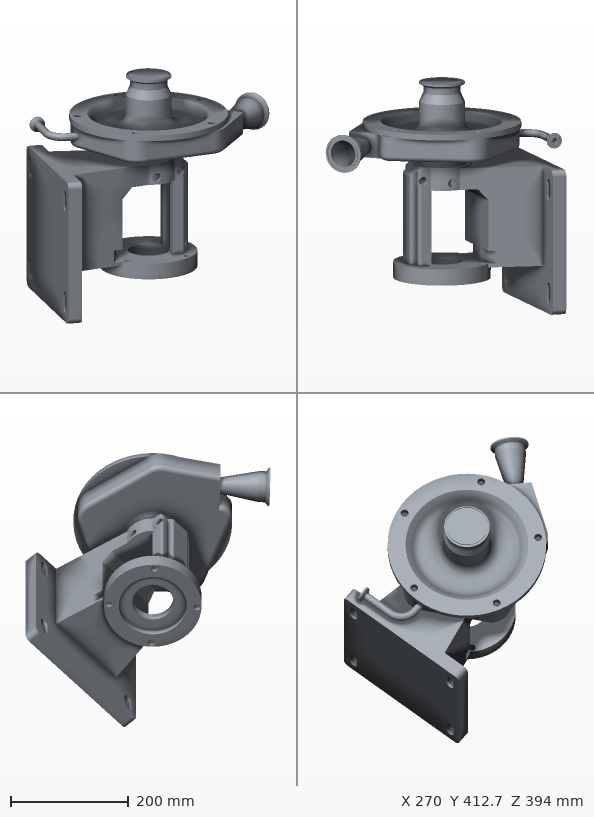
import cadquery as cq
import math


OVERLAP = 4.0
QUARTER_ARC_SAG = 1 - math.sqrt(0.5)

PLATE_WIDTH = 250.5
PLATE_HEIGHT = 250.0
PLATE_FRONT = -179.3
PLATE_BACK = -155.0
PLATE_CORNER_RADIUS = 10.0
SLOT_WIDTH = 16.0
SLOT_LENGTH = 36.8
SLOT_SPACING_X = 210.0
SLOT_SPACING_Z = 179.3

ARM_HALF_WIDTH = 74.8
ARM_SIDE_SLOPE = 0.19
ARM_BOTTOM = 77.5
ARM_INNER_FACE = -63.0
WINDOW_CHAMFER_Y = 17.8
WINDOW_CHAMFER_Z = 19.0
RELIEF_DEPTH = 15.5
RELIEF_HEIGHT = 22.5
RELIEF_ANGLE = 20

COLLAR_RADIUS = 50.0
COLLAR_BOTTOM = 213.0
COLLAR_TOP = 252.8
CORE_RADIUS = 41.7
SIDE_HOLE_RADIUS = 7.5
SIDE_HOLE_Z = 226.0
COLUMN_HALF_WIDTH = 35.5
COLUMN_FRONT = 32.0
COLUMN_BACK = 54.5
COLUMN_BORE_RADIUS = 37.5
RIB_HALF_WIDTH = 20.5
RIB_BACK = 65.0
COLUMN_CORNER_RADIUS = 5.0
BEVEL_Y = 18.0
BEVEL_Z = 15.5
CROSS_HOLE_RADIUS = 7.0
CROSS_HOLE_Y = 47.0
CROSS_HOLE_Z = 230.0
RING_RADIUS = 83.0
RING_BORE_RADIUS = 35.0
RING_SPIGOT_RADIUS = 58.0
RING_SPIGOT_DEPTH = 11.5
RING_BOTTOM = 55.5
RING_TOP = 83.5
RING_HOLE_CIRCLE = 75.0
RING_HOLE_RADIUS = 5.8
RING_HOLES = 4
RING_HOLE_START = 45

CASING_BOTTOM = 273.5
CASING_FLANGE_BOTTOM = 315.5
CASING_TOP = 325.5
NECK_FILLET = 9.5
CASING_EDGE_FILLET = 8.3
CASING_CORNER_RADIUS = 34.5
LIP_CORNER_RADIUS = 21.5
CASING_SIDES = 5
CASING_APOTHEM = 115.0
CASING_TURN = 45
FLANGE_RADIUS = 135.0
FLANGE_HOLE_CIRCLE = 122.0
FLANGE_HOLE_RADIUS = 6.5
DISH_RIM_RADIUS = 104.5
DISH_FLOOR_RADIUS = 83.0
DISH_DEPTH = 15.3
DISH_FILLET = 14.5
DISH_WALL_ANGLE = 45

INLET_RADIUS = 39.0
INLET_NECK_RADIUS = 32.0
INLET_FLARE_BOTTOM = 359.8
INLET_FLARE_TOP = 375.5
INLET_CLAMP_BOTTOM = 386.5
INLET_RIM_BOTTOM = 390.8
INLET_TOP = 394.0
INLET_GROOVE_INNER_RADIUS = 34.3
INLET_GROOVE_OUTER_RADIUS = 36.8

OUTLET_ANGLE = 135
OUTLET_OFFSET = 95.0
OUTLET_Z = 293.0
OUTLET_FACE = 110.5
OUTLET_FACE_START = 62.5
OUTLET_FACE_END = 123.0
OUTLET_LENGTH = 84.5
OUTLET_ROOT_RADIUS = 14.5
OUTLET_ROOT_LENGTH = 3.7
OUTLET_CONE_LENGTH = 66.0
OUTLET_CONE_RADIUS = 26.5
OUTLET_RIM_RADIUS = 32.5
OUTLET_RIM_THICKNESS = 2.5
OUTLET_CLAMP_THICKNESS = 7.0
OUTLET_BORE_RADIUS = 23.0
OUTLET_BORE_DEPTH = 13.0
OUTLET_TAPER_RADIUS = 21.5
OUTLET_TAPER_DEPTH = 27.0
OUTLET_BORE_ROOT_RADIUS = 11.0
OUTLET_GROOVE_INNER_RADIUS = 27.0
OUTLET_GROOVE_OUTER_RADIUS = 29.5

GROOVE_DEPTH = 1.5

DRAIN_RADIUS = 6.5
DRAIN_BORE_RADIUS = 4.5
DRAIN_Z = 295.5
DRAIN_BEND_START = -142.5
DRAIN_BEND_RADIUS = 29.0
DRAIN_PIPE_Y = DRAIN_BEND_START - DRAIN_BEND_RADIUS
DRAIN_END = -89.5
DRAIN_RIM_RADIUS = 13.2
DRAIN_RIM_THICKNESS = 3.5
DRAIN_CLAMP_THICKNESS = 7.5
DRAIN_GROOVE_INNER_RADIUS = 8.0
DRAIN_GROOVE_OUTER_RADIUS = 10.5


def polar(radius, angle):
    """Point at a radius and an angle in degrees around the pump axis."""
    turn = math.radians(angle)
    return (radius * math.cos(turn), radius * math.sin(turn))


def cylinder(radius, bottom, top):
    return cq.Workplane("XY").workplane(offset=bottom).circle(radius).extrude(top - bottom)


def slab(outline, bottom, top):
    """Upright prism over a closed polygon in the XY plane."""
    return cq.Workplane("XY").workplane(offset=bottom).polyline(outline).close().extrude(top - bottom)


def turned(profile):
    """Solid of revolution around Z from (radius, height) points."""
    return cq.Workplane("XZ").polyline(profile).close().revolve(360, (0, 0, 0), (0, 1, 0))


def cross_hole(radius, y, z):
    """Cylinder along X right across the bracket."""
    return cq.Workplane("YZ").center(y, z).circle(radius).extrude(PLATE_WIDTH / 2, both=True)


def gasket_groove(inner, outer, face):
    """Ring sunk into a clamp face that lies at height face and looks up."""
    bottom = face - GROOVE_DEPTH
    return cylinder(outer, bottom, face).cut(cylinder(inner, bottom, face))


def mounting_plate():
    plate = (
        cq.Workplane("XZ", origin=(0, PLATE_BACK, PLATE_HEIGHT / 2))
        .rect(PLATE_WIDTH, PLATE_HEIGHT)
        .extrude(PLATE_BACK - PLATE_FRONT)
        .edges("|Y")
        .fillet(PLATE_CORNER_RADIUS)
    )
    return (
        plate.faces("<Y")
        .workplane(centerOption="CenterOfBoundBox")
        .rarray(SLOT_SPACING_X, SLOT_SPACING_Z, 2, 2)
        .slot2D(SLOT_LENGTH, SLOT_WIDTH, 90)
        .cutThruAll()
    )


def arm_half_width(y):
    return ARM_HALF_WIDTH - ARM_SIDE_SLOPE * (y - PLATE_BACK)


def bracket_arm():
    """Tapered block behind the plate, stepped in side view, with a relief beside each front ring hole."""
    plan = []
    for y, side in ((PLATE_BACK, -1), (0, -1), (0, 1), (PLATE_BACK, 1)):
        plan.append((side * arm_half_width(y), y))
    profile = [
        (PLATE_BACK, ARM_BOTTOM),
        (ARM_INNER_FACE, ARM_BOTTOM),
        (ARM_INNER_FACE, COLLAR_BOTTOM - WINDOW_CHAMFER_Z),
        (ARM_INNER_FACE + WINDOW_CHAMFER_Y, COLLAR_BOTTOM),
        (0, COLLAR_BOTTOM),
        (0, PLATE_HEIGHT),
        (PLATE_BACK, PLATE_HEIGHT),
    ]
    stepped = cq.Workplane("YZ").polyline(profile).close().extrude(PLATE_WIDTH / 2, both=True)
    arm = slab(plan, ARM_BOTTOM, PLATE_HEIGHT).intersect(stepped)

    relief_y = ARM_INNER_FACE - RELIEF_DEPTH
    edge_x = arm_half_width(relief_y)
    relief_reach = RELIEF_DEPTH / math.tan(math.radians(RELIEF_ANGLE))
    for side in (-1, 1):
        outline = [
            (side * (edge_x - relief_reach), ARM_INNER_FACE),
            (side * edge_x, relief_y),
            (side * PLATE_WIDTH / 2, relief_y),
            (side * PLATE_WIDTH / 2, ARM_INNER_FACE),
        ]
        arm = arm.cut(slab(outline, RING_TOP, RING_TOP + RELIEF_HEIGHT))
    return arm


def collar():
    """Round boss under the casing, with a set-screw hole in each side that ends on the core."""
    holes = cross_hole(SIDE_HOLE_RADIUS, 0, SIDE_HOLE_Z)
    holes = holes.cut(cylinder(CORE_RADIUS, COLLAR_BOTTOM, COLLAR_TOP))
    return cylinder(COLLAR_RADIUS, COLLAR_BOTTOM, COLLAR_TOP).cut(holes)


def column_bar(half_width, front, back):
    """Upright bar whose two back corners are rounded."""
    return (
        cq.Workplane("XY", origin=(0, (front + back) / 2, RING_TOP))
        .rect(2 * half_width, back - front)
        .extrude(COLLAR_TOP - RING_TOP)
        .edges("|Z and >Y")
        .fillet(COLUMN_CORNER_RADIUS)
    )


def column():
    """Back column with a rib, hollowed in front below the collar and bevelled at the top."""
    body = column_bar(COLUMN_HALF_WIDTH, COLUMN_FRONT, COLUMN_BACK)
    body = body.union(column_bar(RIB_HALF_WIDTH, COLUMN_FRONT, RIB_BACK))
    bevel = (
        cq.Workplane("YZ")
        .moveTo(RIB_BACK - BEVEL_Y, COLLAR_TOP)
        .lineTo(RIB_BACK, COLLAR_TOP)
        .lineTo(RIB_BACK, COLLAR_TOP - BEVEL_Z)
        .close()
        .extrude(COLUMN_HALF_WIDTH, both=True)
    )
    return body.cut(cylinder(COLUMN_BORE_RADIUS, RING_TOP, COLLAR_BOTTOM)).cut(bevel)


def motor_ring():
    """Ring under the column with a stepped bore and a circle of bolt holes."""
    holes = (
        cq.Workplane("XY")
        .workplane(offset=RING_BOTTOM)
        .polarArray(RING_HOLE_CIRCLE, RING_HOLE_START, 360, RING_HOLES)
        .circle(RING_HOLE_RADIUS)
        .extrude(RING_TOP - RING_BOTTOM)
    )
    bore = cylinder(RING_BORE_RADIUS, RING_BOTTOM, RING_TOP)
    spigot_seat = cylinder(RING_SPIGOT_RADIUS, RING_BOTTOM, RING_BOTTOM + RING_SPIGOT_DEPTH)
    return cylinder(RING_RADIUS, RING_BOTTOM, RING_TOP).cut(bore).cut(spigot_seat).cut(holes)


def bracket():
    body = mounting_plate().union(bracket_arm()).union(collar()).union(column()).union(motor_ring())
    return body.cut(cross_hole(CROSS_HOLE_RADIUS, CROSS_HOLE_Y, CROSS_HOLE_Z))


def outlet_point(along, across):
    """Point at a distance along the nozzle direction and a distance across it."""
    x_along, y_along = polar(along, OUTLET_ANGLE)
    x_across, y_across = polar(across, OUTLET_ANGLE - 90)
    return (x_along + x_across, y_along + y_across)


def round_uprights(block, points, radius):
    """Round the upright edges of the casing block that stand at the given points."""
    middle_z = (CASING_BOTTOM + CASING_FLANGE_BOTTOM) / 2
    uprights = block.edges("|Z")
    picked = []
    for x, y in points:
        nearest = cq.selectors.NearestToPointSelector((x, y, middle_z))
        picked.append(uprights.edges(nearest).val())
    return block.newObject(picked).fillet(radius)


def casing_block():
    """Pentagon with rounded corners whose second corner is replaced by the outlet block."""
    step = 360 / CASING_SIDES
    corner_radius = CASING_APOTHEM / math.cos(math.radians(step / 2))
    corners = [polar(corner_radius, CASING_TURN + step * i) for i in range(CASING_SIDES)]
    plain_corners = [corners[0]] + corners[2:]

    side_direction = CASING_TURN + step + step / 2
    side_angle = math.radians(side_direction - OUTLET_ANGLE)
    lip_along = (CASING_APOTHEM + OUTLET_FACE_START * math.sin(side_angle)) / math.cos(side_angle)
    lip = outlet_point(lip_along, OUTLET_FACE_START)
    face_start = outlet_point(OUTLET_FACE, OUTLET_FACE_START)
    face_end = outlet_point(OUTLET_FACE, OUTLET_FACE_END)

    outline = [corners[0], face_end, face_start, lip] + corners[2:]
    block = slab(outline, CASING_BOTTOM, CASING_FLANGE_BOTTOM)
    block = round_uprights(block, plain_corners, CASING_CORNER_RADIUS)
    block = round_uprights(block, [lip], LIP_CORNER_RADIUS)

    face_middle = outlet_point(OUTLET_FACE, (OUTLET_FACE_START + OUTLET_FACE_END) / 2)
    bottom_edges = block.faces("<Z").edges()
    below_face = cq.selectors.NearestToPointSelector((*face_middle, CASING_BOTTOM))
    sharp_edge = bottom_edges.edges(below_face).val()
    rounded_edges = [edge for edge in bottom_edges.vals() if not edge.isSame(sharp_edge)]
    return block.newObject(rounded_edges).fillet(CASING_EDGE_FILLET)


def flange_holes():
    return (
        cq.Workplane("XY")
        .workplane(offset=CASING_FLANGE_BOTTOM)
        .polarArray(FLANGE_HOLE_CIRCLE, CASING_TURN, 360, CASING_SIDES)
        .circle(FLANGE_HOLE_RADIUS)
        .extrude(CASING_TOP - CASING_FLANGE_BOTTOM)
    )


def dish():
    """Ring-shaped recess in the casing top: sloping rim, rounded foot, flat floor, rounded spigot root."""
    floor = CASING_TOP - DISH_DEPTH
    wall = math.radians(DISH_WALL_ANGLE)
    sag = DISH_DEPTH * QUARTER_ARC_SAG

    def foot(angle):
        reach = DISH_FLOOR_RADIUS + DISH_FILLET * math.sin(angle)
        return (reach, floor + DISH_FILLET * (1 - math.cos(angle)))

    profile = (
        cq.Workplane("XZ")
        .moveTo(INLET_RADIUS, CASING_TOP)
        .threePointArc((INLET_RADIUS + sag, floor + sag), (INLET_RADIUS + DISH_DEPTH, floor))
        .lineTo(DISH_FLOOR_RADIUS, floor)
        .threePointArc(foot(wall / 2), foot(wall))
        .lineTo(DISH_RIM_RADIUS, CASING_TOP)
        .close()
    )
    return profile.revolve(360, (0, 0, 0), (0, 1, 0))


def neck():
    """Round neck that joins the collar to the casing, flaring out under the casing."""
    arc_start = CASING_BOTTOM - NECK_FILLET
    flare_radius = CORE_RADIUS + NECK_FILLET
    sag = NECK_FILLET * QUARTER_ARC_SAG
    profile = (
        cq.Workplane("XZ")
        .moveTo(0, COLLAR_TOP - OVERLAP)
        .lineTo(CORE_RADIUS, COLLAR_TOP - OVERLAP)
        .lineTo(CORE_RADIUS, arc_start)
        .threePointArc((CORE_RADIUS + sag, CASING_BOTTOM - sag), (flare_radius, CASING_BOTTOM))
        .lineTo(flare_radius, CASING_BOTTOM + OVERLAP)
        .lineTo(0, CASING_BOTTOM + OVERLAP)
        .close()
    )
    return profile.revolve(360, (0, 0, 0), (0, 1, 0))


def casing():
    flange = cylinder(FLANGE_RADIUS, CASING_FLANGE_BOTTOM, CASING_TOP)
    return casing_block().union(flange).cut(flange_holes()).cut(dish()).union(neck())


def inlet():
    """Closed spigot on top of the casing with a clamp rim."""
    spigot = turned(
        [
            (0, CASING_TOP - DISH_DEPTH),
            (INLET_RADIUS, CASING_TOP - DISH_DEPTH),
            (INLET_RADIUS, INLET_FLARE_BOTTOM),
            (INLET_NECK_RADIUS, INLET_FLARE_TOP),
            (INLET_NECK_RADIUS, INLET_CLAMP_BOTTOM),
            (INLET_RADIUS, INLET_RIM_BOTTOM),
            (INLET_RADIUS, INLET_TOP),
            (0, INLET_TOP),
        ]
    )
    return spigot.cut(gasket_groove(INLET_GROOVE_INNER_RADIUS, INLET_GROOVE_OUTER_RADIUS, INLET_TOP))


def outlet():
    """Hollow cone with a clamp rim, turned around Z and then laid against the outlet face."""
    tip = OUTLET_LENGTH
    body = turned(
        [
            (0, -OVERLAP),
            (OUTLET_ROOT_RADIUS, -OVERLAP),
            (OUTLET_ROOT_RADIUS, OUTLET_ROOT_LENGTH),
            (OUTLET_CONE_RADIUS, OUTLET_CONE_LENGTH),
            (OUTLET_CONE_RADIUS, tip - OUTLET_CLAMP_THICKNESS),
            (OUTLET_RIM_RADIUS, tip - OUTLET_RIM_THICKNESS),
            (OUTLET_RIM_RADIUS, tip),
            (0, tip),
        ]
    )
    bore = turned(
        [
            (0, 0),
            (OUTLET_BORE_ROOT_RADIUS, 0),
            (OUTLET_TAPER_RADIUS, tip - OUTLET_TAPER_DEPTH),
            (OUTLET_BORE_RADIUS, tip - OUTLET_BORE_DEPTH),
            (OUTLET_BORE_RADIUS, tip),
            (0, tip),
        ]
    )
    groove = gasket_groove(OUTLET_GROOVE_INNER_RADIUS, OUTLET_GROOVE_OUTER_RADIUS, tip)
    return (
        body.cut(bore)
        .cut(groove)
        .rotate((0, 0, 0), (0, 1, 0), 90)
        .rotate((0, 0, 0), (0, 0, 1), OUTLET_ANGLE)
        .translate((*outlet_point(OUTLET_FACE, OUTLET_OFFSET), OUTLET_Z))
    )


def drain_tube(radius):
    """Round bar along the drain axis: out of the casing, around the bend and on towards -X."""
    start_y = OVERLAP - CASING_APOTHEM
    sag = DRAIN_BEND_RADIUS * QUARTER_ARC_SAG
    path = (
        cq.Workplane("XY", origin=(0, 0, DRAIN_Z))
        .moveTo(0, start_y)
        .lineTo(0, DRAIN_BEND_START)
        .threePointArc((-sag, DRAIN_PIPE_Y + sag), (-DRAIN_BEND_RADIUS, DRAIN_PIPE_Y))
        .lineTo(DRAIN_END, DRAIN_PIPE_Y)
    )
    return cq.Workplane("XZ", origin=(0, start_y, DRAIN_Z)).circle(radius).sweep(path)


def drain():
    """Hollow drain pipe that ends in a clamp rim."""
    rim = turned(
        [
            (0, -DRAIN_CLAMP_THICKNESS),
            (DRAIN_RADIUS, -DRAIN_CLAMP_THICKNESS),
            (DRAIN_RIM_RADIUS, -DRAIN_RIM_THICKNESS),
            (DRAIN_RIM_RADIUS, 0),
            (0, 0),
        ]
    )
    rim = rim.cut(gasket_groove(DRAIN_GROOVE_INNER_RADIUS, DRAIN_GROOVE_OUTER_RADIUS, 0))
    rim = rim.rotate((0, 0, 0), (0, 1, 0), -90).translate((DRAIN_END, DRAIN_PIPE_Y, DRAIN_Z))
    return drain_tube(DRAIN_RADIUS).union(rim).cut(drain_tube(DRAIN_BORE_RADIUS))


result = bracket().union(casing()).union(inlet()).union(outlet()).union(drain())